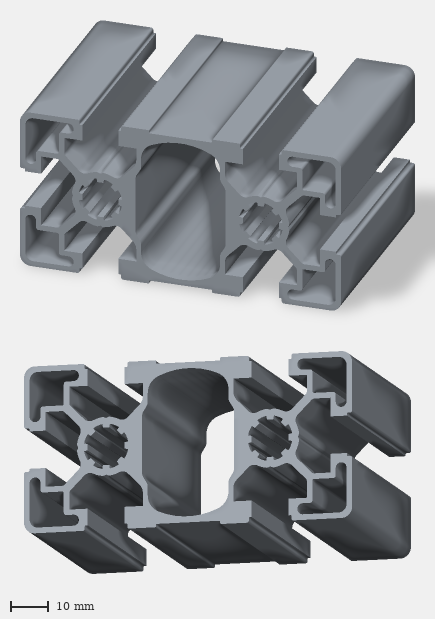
import cadquery as cq
import math

width = 90.0
height = width / 2
length = 60.0
half_cell = height / 2
outer_corner_radius = 3.0

mouth_half = 5.85
mouth_edge_radius = 0.5
lip_half = 5.0
lip_step = 1.4
lip_root_radius = 0.3
lip_depth = 5.9
chamber_half = 10.1
web_offset = 1.6
shoulder_radius = 1.1
inner_shoulder_radius = 3.15

boss_radius = 8.0
boss_web_radius = 2.2
groove_half = 0.8
groove_depth = 0.4
groove_rim_radius = 0.6

bore_radius = 6.1
rib_count = 8
rib_tip_radius = 5.0
rib_tip_width = 1.7
rib_root_width = 2.4

wall = 1.5
finger_outer = 4.5
finger_end = 15.0
hollow_inner = half_cell - chamber_half - wall
hollow_corner_radius = 2.25
finger_root_radius = 0.7
hollow_web_radius = 0.45

chamber_waist_half = 12.6
chamber_neck_half = 11.1
chamber_arc_radius = 20.0
neck_bottom = 10.8
waist_top = 8.4
chamber_corner_radius = 4.9
neck_radius = 2.25

recess_half = 8.8
recess_depth = 0.9
recess_edge_radius = 0.3


def profile():
    """Start a profile in the XZ plane."""
    return cq.Workplane("XZ")


def extrude(outline):
    """Extrude an XZ outline equally to both sides along Y."""
    return outline.extrude(length / 2, both=True)


def fillet_at(solid, x, z, radius):
    """Round the lengthwise edge that passes through (x, z)."""
    return solid.edges("|Y").edges(cq.NearestToPointSelector((x, 0, z))).fillet(radius)


def make_boss():
    """Round boss with a small V groove facing the open side of the slot."""
    boss = extrude(profile().circle(boss_radius))
    groove_rim = math.sqrt(boss_radius**2 - groove_half**2)
    groove = profile().polyline([
        (-groove_half, groove_rim),
        (0, boss_radius - groove_depth),
        (groove_half, groove_rim),
        (0, boss_radius + groove_depth),
    ]).close()
    boss = boss.cut(extrude(groove))
    for side in (-1, 1):
        boss = fillet_at(boss, side * groove_half, groove_rim, groove_rim_radius)
    return boss


def make_slot(right_shoulder_radius):
    """T-slot space opening towards +Z, with the cell centre at the origin."""
    step_z = half_cell - lip_step
    lip_inner = half_cell - lip_depth
    shoulder = chamber_half + web_offset
    web_end = boss_radius / 2
    slot = extrude(
        profile()
        .moveTo(0, half_cell)
        .lineTo(mouth_half + mouth_edge_radius, half_cell)
        .radiusArc((mouth_half, half_cell - mouth_edge_radius), -mouth_edge_radius)
        .lineTo(mouth_half, step_z)
        .lineTo(lip_half, step_z)
        .lineTo(lip_half, lip_inner)
        .lineTo(chamber_half, lip_inner)
        .lineTo(chamber_half, shoulder)
        .lineTo(web_end, web_end + web_offset)
        .lineTo(0, web_end + web_offset)
        .mirrorY()
    ).cut(make_boss())

    foot_x = (math.sqrt(2 * boss_radius**2 - web_offset**2) - web_offset) / 2
    foot_z = foot_x + web_offset
    for side, radius in ((-1, shoulder_radius), (1, right_shoulder_radius)):
        slot = fillet_at(slot, side * mouth_half, step_z, lip_root_radius)
        slot = fillet_at(slot, side * chamber_half, shoulder, radius)
        slot = fillet_at(slot, side * foot_x, foot_z, boss_web_radius)
    return slot


def make_bore():
    """Core bore with ribs pointing to its centre."""
    bore = extrude(profile().circle(bore_radius))
    root = bore_radius + wall / 2
    rib = extrude(profile().polyline([
        (rib_tip_radius, -rib_tip_width / 2),
        (root, -rib_root_width / 2),
        (root, rib_root_width / 2),
        (rib_tip_radius, rib_tip_width / 2),
    ]).close())
    for index in range(rib_count):
        bore = bore.cut(rib.rotate((0, 0, 0), (0, 1, 0), index * 360 / rib_count))
    return bore


def make_corner_hollow():
    """Hollow of the +X +Z corner with two round-ended fingers behind the slot lips."""
    finger_radius = (finger_outer - wall) / 2
    finger_middle = wall + finger_radius
    arc_start = finger_end - finger_radius
    hollow = extrude(
        profile()
        .moveTo(-wall, -wall)
        .lineTo(-arc_start, -wall)
        .threePointArc((-finger_end, -finger_middle), (-arc_start, -finger_outer))
        .lineTo(-hollow_inner, -finger_outer)
        .lineTo(-hollow_inner, -hollow_inner)
        .lineTo(-finger_outer, -hollow_inner)
        .lineTo(-finger_outer, -arc_start)
        .threePointArc((-finger_middle, -finger_end), (-wall, -arc_start))
        .close()
    )
    hollow = fillet_at(hollow, -wall, -wall, hollow_corner_radius)
    hollow = fillet_at(hollow, -hollow_inner, -finger_outer, finger_root_radius)
    hollow = fillet_at(hollow, -finger_outer, -hollow_inner, finger_root_radius)
    hollow = fillet_at(hollow, -hollow_inner, -hollow_inner, hollow_web_radius)
    return hollow.translate((width / 2, 0, half_cell))


def make_central_chamber():
    """Barrel-shaped chamber with arched ends and a wider waist."""
    arch_z = math.sqrt(chamber_arc_radius**2 - chamber_neck_half**2)
    chamber = extrude(
        profile()
        .moveTo(-chamber_neck_half, arch_z)
        .threePointArc((0, chamber_arc_radius), (chamber_neck_half, arch_z))
        .lineTo(chamber_neck_half, neck_bottom)
        .lineTo(chamber_waist_half, waist_top)
        .lineTo(chamber_waist_half, -waist_top)
        .lineTo(chamber_neck_half, -neck_bottom)
        .lineTo(chamber_neck_half, -arch_z)
        .threePointArc((0, -chamber_arc_radius), (-chamber_neck_half, -arch_z))
        .lineTo(-chamber_neck_half, -neck_bottom)
        .lineTo(-chamber_waist_half, -waist_top)
        .lineTo(-chamber_waist_half, waist_top)
        .lineTo(-chamber_neck_half, neck_bottom)
        .close()
    )
    for x_side in (-1, 1):
        for z_side in (-1, 1):
            neck_x = x_side * chamber_neck_half
            waist_x = x_side * chamber_waist_half
            chamber = fillet_at(chamber, neck_x, z_side * arch_z, chamber_corner_radius)
            chamber = fillet_at(chamber, neck_x, z_side * neck_bottom, neck_radius)
            chamber = fillet_at(chamber, waist_x, z_side * waist_top, neck_radius)
    return chamber


result = cq.Workplane("XY").box(width, length, height).edges("|Y").fillet(outer_corner_radius)

recess = cq.Workplane("XY").box(2 * recess_half, length, 2 * recess_depth)
for z in (-half_cell, half_cell):
    result = result.cut(recess.translate((0, 0, z)))
    for x in (-recess_half, recess_half):
        result = fillet_at(result, x, z, recess_edge_radius)
        result = fillet_at(result, x, z - math.copysign(recess_depth, z), recess_edge_radius)

top_slot = make_slot(inner_shoulder_radius)
side_slot = make_slot(shoulder_radius).rotate((0, 0, 0), (0, 1, 0), -90)
for cut_body in (top_slot, top_slot.mirror("XY"), side_slot, make_bore()):
    left_body = cut_body.translate((-width / 4, 0, 0))
    result = result.cut(left_body).cut(left_body.mirror("YZ"))

right_hollow = make_corner_hollow()
for hollow in (right_hollow, right_hollow.mirror("YZ")):
    result = result.cut(hollow).cut(hollow.mirror("XY"))

result = result.cut(make_central_chamber())